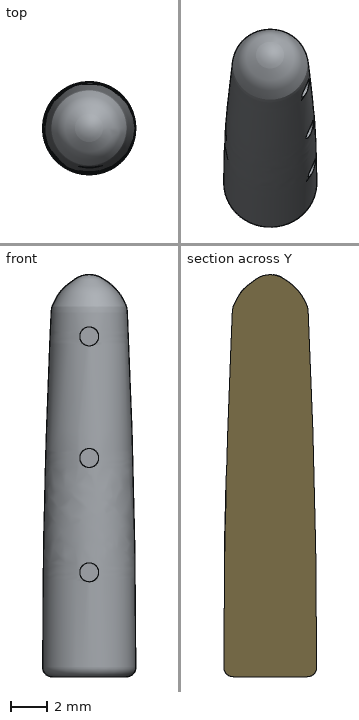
import cadquery as cq

length = 22.25
base_radius = 2.58

base_round = 0.53

body_top_z = 20.13
body_top_radius = 2.11

nose_start_z = 20.45
nose_start_radius = 2.07
shoulder_mid_z = 21.17
shoulder_mid_radius = 1.7
cap_edge_z = 22.0
cap_edge_radius = 0.78

hole_diameter = 1.05
hole_heights = (5.78, 12.1, 18.82)
hole_end_y = 0.0


def make_body():
    """Revolve the half profile (radius, height) about the Z axis."""
    cap_height = length - cap_edge_z
    cap_sphere_radius = (cap_edge_radius**2 + cap_height**2) / (2 * cap_height)
    cap_mid_radius = cap_edge_radius / 2
    cap_mid_drop = cap_sphere_radius - (cap_sphere_radius**2 - cap_mid_radius**2) ** 0.5

    profile = (
        cq.Workplane("XZ")
        .lineTo(base_radius - base_round, 0)
        .tangentArcPoint((base_radius, base_round), relative=False)
        .tangentArcPoint((body_top_radius, body_top_z), relative=False)
        .tangentArcPoint((nose_start_radius, nose_start_z), relative=False)
        .threePointArc((shoulder_mid_radius, shoulder_mid_z), (cap_edge_radius, cap_edge_z))
        .threePointArc((cap_mid_radius, length - cap_mid_drop), (0, length))
        .close()
    )
    return profile.revolve(360, (0, 0, 0), (0, 1, 0))


def make_hole(height):
    """Flat-ended cylinder reaching from outside the -Y side to the hole end."""
    return (
        cq.Workplane("XZ", origin=(0, hole_end_y, height))
        .circle(hole_diameter / 2)
        .extrude(base_radius + hole_end_y)
    )


result = make_body()
for hole_height in hole_heights:
    result = result.cut(make_hole(hole_height))